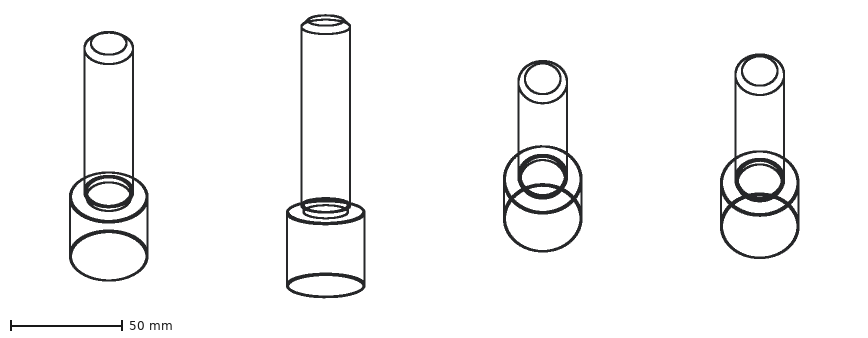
import cadquery as cq

total_length = 125.0
head_diameter = 35.0
head_height = 35.0
head_edge_chamfer = 0.5

shank_diameter = 22.0
tip_chamfer = 3.0
neck_diameter = 20.0
neck_height = 3.0


def rod(diameter, bottom, height):
    """Upright cylinder on the Z axis."""
    return cq.Workplane("XY").workplane(offset=bottom).circle(diameter / 2).extrude(height)


head = rod(head_diameter, 0, head_height).edges().chamfer(head_edge_chamfer)

neck = rod(neck_diameter, head_height, neck_height)

shank_bottom = head_height + neck_height
shank = rod(shank_diameter, shank_bottom, total_length - shank_bottom)
shank = shank.faces(">Z").edges().chamfer(tip_chamfer)

result = head.union(neck).union(shank)